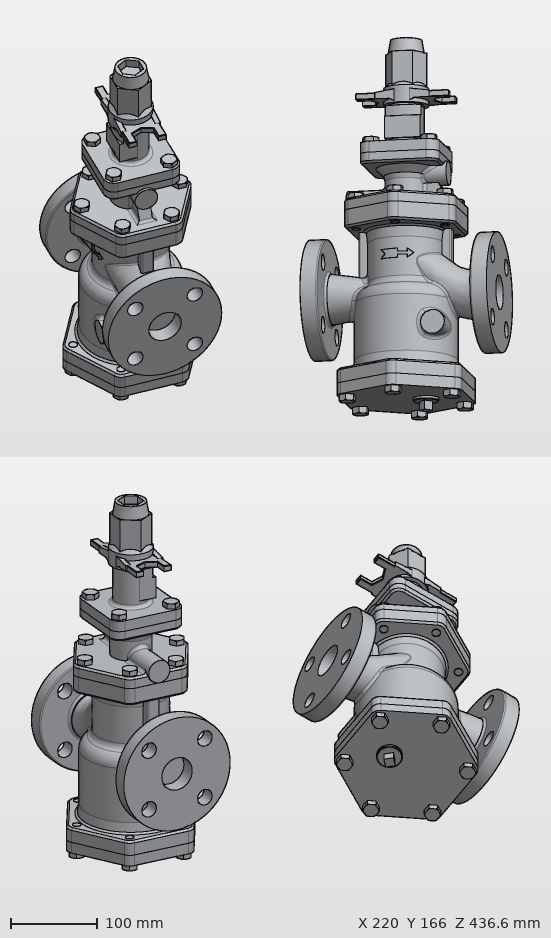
import cadquery as cq
import math


COVER_BOTTOM = -121.0
COVER_JOINT = -107.6
LOWER_FLANGE_TOP = -90.0
UPPER_FLANGE_BOTTOM = 76.0
PILOT_JOINT = 97.1
PILOT_FLANGE_TOP = 110.6
SQUARE_FLANGE_BOTTOM = 149.6
BONNET_JOINT = 161.9
BONNET_FLANGE_TOP = 174.9
HUB_BOTTOM = 224.2
HUB_TOP = 244.2
HEX_TOP = 285.5
VALVE_TOP = 301.2

LOWER_APOTHEM = 73.5
UPPER_APOTHEM = 65.5
HEX_CORNER_RADIUS = 12.0
SQUARE_WIDTH = 93.0
SQUARE_CORNER_RADIUS = 13.0
EDGE_CHAMFER = 2.5
LOWER_BOLT_CIRCLE = 71.2
UPPER_BOLT_CIRCLE = 60.5
SQUARE_BOLT_SPACING = 68.4

BOLT_ACROSS_FLATS = 17.0
BOLT_HEAD_HEIGHT = 6.4
COVER_BOLT_HEAD_HEIGHT = 7.6
BOLT_SHANK_DIAMETER = 10.0
UPPER_BOLT_PROJECTION = 1.0
LOWER_BOLT_PROJECTION = 0.5
BOLT_HEAD_CHAMFER = 1.0

UPPER_BARREL_RADIUS = 89.31 / 2
LOWER_BARREL_RADIUS = 60.0
LOWER_BARREL_TOP = -9.2
SHOULDER_OUTER_RADIUS = 17.65
SHOULDER_INNER_RADIUS = 10.0
SKIRT_TOP = -76.3
SKIRT_RADIUS = 61.7
SKIRT_FOOT_RADIUS = 64.5
COLLAR_BOTTOM = 61.5
COLLAR_RADIUS = 45.8
COLLAR_FOOT_RADIUS = 48.5
FOOT_HEIGHT = 2.2
RIB_REACH = 54.5
RIB_WIDTH = 16.0
RIB_EDGE_RADIUS = 2.0
BODY_BOSS_X = 43.1
BODY_BOSS_Z = -43.0
BODY_BOSS_END = 55.3
BODY_BOSS_FILLET = 5.0
BOSS_DIAMETER = 28.0

ARROW_Z = 42.2
ARROW_RELIEF = 0.5
ARROW_TAIL_X = -20.8
ARROW_NOTCH_X = -15.8
ARROW_SHAFT_START_X = -0.5
ARROW_HEAD_X = 10.8
ARROW_TIP_X = 18.0
ARROW_HALF_HEIGHT = 5.4
ARROW_SHAFT_HALF = 1.9

FACE_TO_FACE = 220.0
PIPE_FLANGE_DIAMETER = 140.0
PIPE_FLANGE_THICKNESS = 20.0
PIPE_FLANGE_EDGE = 1.5
PIPE_ROOT_FILLET = 3.0
PIPE_ROOT_RADIUS = 30.0
INLET_FILLET = 6.0
OUTLET_FILLET = 3.0
BORE_DIAMETER = 40.0
PIPE_BOLT_DIAMETER = 19.0
PIPE_BOLT_SPACING = 73.5

PLUG_X = 23.4
PLUG_COLLAR_DIAMETER = 30.0
PLUG_COLLAR_HEIGHT = 3.8
PLUG_COLLAR_CHAMFER = 1.0
PLUG_SQUARE_DIAGONAL = 15.7
PLUG_BOTTOM = -135.4

PILOT_NECK_RADIUS = 24.5
FLARE_BOTTOM = 135.0
FLARE_CONE_BOTTOM = 141.0
FLARE_CONE_RADIUS = 26.0
PILOT_FLARE_RADIUS = 35.0
PILOT_FILLET = 4.5
OUTLET_RIB_SHOULDER = 39.5
OUTLET_RIB_FOOT = 50.4
OUTLET_RIB_OVERLAP = 2.0
INLET_BOSS_Z = 112.3
INLET_BOSS_REACH = 68.0
OUTLET_BOSS_Z = 143.0
OUTLET_BOSS_REACH = 50.0

STEM_DIAMETER = 42.0
STEM_FILLET = 4.5
PLATE_BLOCK_WIDTH = STEM_DIAMETER
PLATE_BLOCK_REACH = 21.7
PLATE_BLOCK_BOTTOM = 183.0
PLATE_BLOCK_STEP = 209.0
PLATE_BLOCK_TOP = 221.7
PLATE_BLOCK_ARC_RADIUS = 52.0
HUB_DIAMETER = 52.0
HUB_CONE_HEIGHT = 5.0
CAP_ACROSS_FLATS = 42.0
CAP_TOP_RADIUS = 18.3
SOCKET_ACROSS_FLATS = 26.0
SOCKET_DEPTH = 10.0
HANDLE_REACH = 54.7
HANDLE_WIDTH = 46.0
HANDLE_BOTTOM = 229.2
HANDLE_TOP = 236.7
HANDLE_CHAMFER = 0.8
HANDLE_ARM_INNER_Y = 13.3
HANDLE_NOTCH_X = 39.0
HANDLE_NOTCH_TIP_X = 33.4
HANDLE_RIB_INNER_X = 7.3
HANDLE_RIB_FOOT_X = 15.0
HANDLE_RIB_OUTER_X = 32.0
HANDLE_RIB_INNER_Y = 18.0
HANDLE_RIB_OUTER_Y = 24.4
HANDLE_RIB_TOP = 240.5
HANDLE_RIB_BOTTOM = 225.4

HEX_CORNER_RATIO = 1 / math.cos(math.radians(30))

PLANE_MARGIN = 0.5
POINT_MARGIN = 8.0


def hex_prism(across_flats, bottom, top):
    """Hexagonal prism on the valve axis with flats facing +Y and -Y."""
    profile = cq.Workplane("XY", origin=(0, 0, bottom))
    return profile.polygon(6, across_flats * HEX_CORNER_RATIO).extrude(top - bottom)


def cylinder(diameter, bottom, top, x=0.0, y=0.0):
    return cq.Workplane("XY", origin=(x, y, bottom)).circle(diameter / 2).extrude(top - bottom)


def hex_flange(apothem, bottom, top):
    """Hexagonal flange with corners on the Y axis."""
    prism = hex_prism(2 * apothem, bottom, top).rotate((0, 0, 0), (0, 0, 1), 90)
    return prism.edges("|Z").fillet(HEX_CORNER_RADIUS)


def square_flange(bottom, top):
    block = cq.Workplane("XY", origin=(0, 0, bottom)).rect(SQUARE_WIDTH, SQUARE_WIDTH).extrude(top - bottom)
    return block.edges("|Z").fillet(SQUARE_CORNER_RADIUS)


def bolt_head(height):
    """Hexagon bolt head standing on Z = 0 with flats facing +X and -X and rounded-off upper corners."""
    head = hex_prism(BOLT_ACROSS_FLATS, 0, height).rotate((0, 0, 0), (0, 0, 1), 90)
    crown = cylinder(BOLT_ACROSS_FLATS * HEX_CORNER_RATIO, 0, height).faces(">Z").chamfer(BOLT_HEAD_CHAMFER)
    return head.intersect(crown)


def hex_circle_points(radius):
    """Six points on a circle, the first one on the +Y axis."""
    angles = [math.radians(90 + 60 * i) for i in range(6)]
    return [(radius * math.cos(a), radius * math.sin(a)) for a in angles]


LOWER_BOLTS = hex_circle_points(LOWER_BOLT_CIRCLE)
UPPER_BOLTS = hex_circle_points(UPPER_BOLT_CIRCLE)


def boss_along_x(start_x, end_x, z):
    return cq.Workplane("YZ", origin=(start_x, 0, z)).circle(BOSS_DIAMETER / 2).extrude(end_x - start_x)


def edges_in_box(shape, x_range, y_range, z_range):
    """Edges whose centres lie inside the given box."""
    corners = zip(x_range, y_range, z_range)
    return shape.edges(cq.selectors.BoxSelector(*corners))


def around(value, margin):
    """Range reaching the same margin to both sides of a value."""
    return value - margin, value + margin



def make_bottom_cover():
    cover = hex_flange(LOWER_APOTHEM, COVER_BOTTOM, COVER_JOINT)
    head = bolt_head(COVER_BOLT_HEAD_HEIGHT).rotate((0, 0, 0), (1, 0, 0), 180)
    for x, y in LOWER_BOLTS:
        cover = cover.union(head.translate((x, y, COVER_BOTTOM)))
        cover = cover.union(
            cylinder(BOLT_SHANK_DIAMETER, COVER_JOINT, LOWER_FLANGE_TOP + LOWER_BOLT_PROJECTION, x, y))
    collar = cylinder(PLUG_COLLAR_DIAMETER, COVER_BOTTOM - PLUG_COLLAR_HEIGHT, COVER_BOTTOM, PLUG_X)
    collar = collar.faces("<Z").chamfer(PLUG_COLLAR_CHAMFER)
    square = cq.Workplane("XY", origin=(PLUG_X, 0, PLUG_BOTTOM))
    square = square.polygon(4, PLUG_SQUARE_DIAGONAL).extrude(COVER_BOTTOM - PLUG_BOTTOM)
    return cover.union(collar).union(square)



def make_barrel():
    """Turned barrel: wide lower chamber, rounded shoulder, narrow upper chamber."""
    blend_radii = SHOULDER_OUTER_RADIUS + SHOULDER_INNER_RADIUS
    shoulder_step = LOWER_BARREL_RADIUS - UPPER_BARREL_RADIUS
    sweep = math.acos(1 - shoulder_step / blend_radii)
    half = sweep / 2
    outer_centre = LOWER_BARREL_RADIUS - SHOULDER_OUTER_RADIUS
    inner_centre = UPPER_BARREL_RADIUS + SHOULDER_INNER_RADIUS
    shoulder_top = LOWER_BARREL_TOP + blend_radii * math.sin(sweep)

    outer_mid = (outer_centre + SHOULDER_OUTER_RADIUS * math.cos(half),
                 LOWER_BARREL_TOP + SHOULDER_OUTER_RADIUS * math.sin(half))
    blend = (outer_centre + SHOULDER_OUTER_RADIUS * math.cos(sweep),
             LOWER_BARREL_TOP + SHOULDER_OUTER_RADIUS * math.sin(sweep))
    inner_mid = (inner_centre - SHOULDER_INNER_RADIUS * math.cos(half),
                 shoulder_top - SHOULDER_INNER_RADIUS * math.sin(half))

    profile = (
        cq.Workplane("XZ")
        .moveTo(0, LOWER_FLANGE_TOP)
        .lineTo(SKIRT_FOOT_RADIUS, LOWER_FLANGE_TOP)
        .lineTo(SKIRT_RADIUS, LOWER_FLANGE_TOP + FOOT_HEIGHT)
        .lineTo(LOWER_BARREL_RADIUS, SKIRT_TOP)
        .lineTo(LOWER_BARREL_RADIUS, LOWER_BARREL_TOP)
        .threePointArc(outer_mid, blend)
        .threePointArc(inner_mid, (UPPER_BARREL_RADIUS, shoulder_top))
        .lineTo(UPPER_BARREL_RADIUS, COLLAR_BOTTOM)
        .lineTo(COLLAR_RADIUS, UPPER_FLANGE_BOTTOM - FOOT_HEIGHT)
        .lineTo(COLLAR_FOOT_RADIUS, UPPER_FLANGE_BOTTOM)
        .lineTo(0, UPPER_FLANGE_BOTTOM)
        .close()
    )
    return profile.revolve(360, (0, 0, 0), (0, 1, 0))


def make_rib():
    """Upright channel rib under the upper flange, running down into both pipe connections."""
    block = cq.Workplane("XY").rect(2 * RIB_REACH, RIB_WIDTH).extrude(UPPER_FLANGE_BOTTOM)
    return block.edges("|Z").fillet(RIB_EDGE_RADIUS)


def make_pipe_flange():
    """Pipe flange on the inlet side, with its bolt holes and the fillet at the pipe root."""
    face_x = -FACE_TO_FACE / 2
    back_x = face_x + PIPE_FLANGE_THICKNESS
    flange = cq.Workplane("YZ", origin=(face_x, 0, 0)).circle(PIPE_FLANGE_DIAMETER / 2)
    flange = flange.extrude(PIPE_FLANGE_THICKNESS).faces(">X").edges().fillet(PIPE_FLANGE_EDGE)
    holes = cq.Workplane("YZ", origin=(face_x, 0, 0))
    holes = holes.rect(PIPE_BOLT_SPACING, PIPE_BOLT_SPACING, forConstruction=True).vertices()
    holes = holes.circle(PIPE_BOLT_DIAMETER / 2).extrude(PIPE_FLANGE_THICKNESS)
    bend = PIPE_ROOT_FILLET * (1 - math.cos(math.radians(45)))
    root = (
        cq.Workplane("XZ")
        .moveTo(back_x, 0)
        .lineTo(back_x, PIPE_ROOT_RADIUS + PIPE_ROOT_FILLET)
        .threePointArc((back_x + bend, PIPE_ROOT_RADIUS + bend),
                       (back_x + PIPE_ROOT_FILLET, PIPE_ROOT_RADIUS))
        .lineTo(back_x + PIPE_ROOT_FILLET, 0)
        .close()
        .revolve(360, (0, 0, 0), (1, 0, 0))
    )
    return flange.cut(holes).union(root)


def pipe_section(x, z, half_width, half_height, tilt):
    """Closed ellipse across a pipe; tilt is the climb of the pipe axis in degrees."""
    slope = math.radians(tilt)
    plane = cq.Plane(origin=(x, 0, z), xDir=(0, 1, 0), normal=(math.cos(slope), 0, math.sin(slope)))
    return cq.Wire.makeEllipse(
        half_width, half_height, plane.origin, plane.zDir, plane.xDir, rotation_angle=0)


def make_inlet_pipe():
    """Inlet pipe: narrows and dips slightly towards the barrel."""
    start = -FACE_TO_FACE / 2 + PIPE_FLANGE_THICKNESS
    sections = [
        pipe_section(start, 0, PIPE_ROOT_RADIUS, PIPE_ROOT_RADIUS, 0),
        pipe_section(-66, -0.5, 27.2, 26.5, -8),
        pipe_section(-30, -6, 24, 24, -12),
    ]
    return cq.Workplane(cq.Solid.makeLoft(sections))


def make_outlet_pipe():
    """Outlet passage: climbs towards the valve axis and widens into the upper barrel."""
    start = FACE_TO_FACE / 2 - PIPE_FLANGE_THICKNESS
    sections = [
        pipe_section(start, 0, PIPE_ROOT_RADIUS, PIPE_ROOT_RADIUS, 0),
        pipe_section(70, 0.5, 28, 28, -14),
        pipe_section(40, 17, 34, 26, -40),
        pipe_section(10, 36, 41, 28, -40),
    ]
    return cq.Workplane(cq.Solid.makeLoft(sections))


def add_inlet_pipe(barrel):
    joined = barrel.union(make_inlet_pipe())
    pipe_extent = around(0, PIPE_ROOT_RADIUS)
    seam = edges_in_box(joined, (-LOWER_BARREL_RADIUS, -UPPER_BARREL_RADIUS / 2), pipe_extent, pipe_extent)
    return seam.fillet(INLET_FILLET)


def add_outlet_pipe(barrel):
    joined = barrel.union(make_outlet_pipe())
    widths = around(0, UPPER_BARREL_RADIUS)
    heights = (-PIPE_ROOT_RADIUS, UPPER_BARREL_RADIUS + PIPE_ROOT_RADIUS / 2)
    seam = edges_in_box(joined, (PIPE_ROOT_RADIUS / 2, LOWER_BARREL_RADIUS - PLANE_MARGIN), widths, heights)
    return seam.fillet(OUTLET_FILLET)


def add_body_boss(barrel):
    """Plugged boss on the -Y side with a fillet around its root."""
    boss = cq.Workplane("XZ", origin=(BODY_BOSS_X, 0, BODY_BOSS_Z))
    joined = barrel.union(boss.circle(BOSS_DIAMETER / 2).extrude(BODY_BOSS_END))
    root_y = -math.sqrt(LOWER_BARREL_RADIUS ** 2 - BODY_BOSS_X ** 2)
    root_point = (BODY_BOSS_X, root_y, BODY_BOSS_Z)
    root = edges_in_box(joined, *[around(value, POINT_MARGIN) for value in root_point])
    return root.fillet(BODY_BOSS_FILLET)


def make_flow_arrow():
    """Slightly raised flow arrow on the upper barrel, pointing to the outlet."""
    upper_half = [
        (ARROW_NOTCH_X, 0),
        (ARROW_TAIL_X, ARROW_HALF_HEIGHT),
        (ARROW_SHAFT_START_X, ARROW_HALF_HEIGHT),
        (ARROW_SHAFT_START_X, ARROW_SHAFT_HALF),
        (ARROW_HEAD_X, ARROW_SHAFT_HALF),
        (ARROW_HEAD_X, ARROW_HALF_HEIGHT),
        (ARROW_TIP_X, 0),
    ]
    lower_half = [(x, -z) for x, z in reversed(upper_half[1:-1])]
    outline = cq.Workplane("XZ", origin=(0, 0, ARROW_Z)).polyline(upper_half + lower_half).close()
    outer_radius = UPPER_BARREL_RADIUS + ARROW_RELIEF
    envelope = cylinder(2 * outer_radius, ARROW_Z - ARROW_HALF_HEIGHT, ARROW_Z + ARROW_HALF_HEIGHT)
    return outline.extrude(outer_radius).intersect(envelope)


def make_body():
    lower_flange = hex_flange(LOWER_APOTHEM, COVER_JOINT, LOWER_FLANGE_TOP)
    lower_flange = lower_flange.faces(">Z").edges().chamfer(EDGE_CHAMFER)
    upper_flange = hex_flange(UPPER_APOTHEM, UPPER_FLANGE_BOTTOM, PILOT_JOINT)
    upper_flange = upper_flange.faces("<Z").edges().chamfer(EDGE_CHAMFER)
    inlet_flange = make_pipe_flange()
    body = add_body_boss(make_barrel())
    body = add_outlet_pipe(add_inlet_pipe(body))
    for flange in (lower_flange, upper_flange, inlet_flange, inlet_flange.mirror("YZ")):
        body = body.union(flange)
    body = body.union(make_rib()).union(make_flow_arrow())
    for x, y in LOWER_BOLTS:
        body = body.cut(cylinder(BOLT_SHANK_DIAMETER, COVER_JOINT, LOWER_FLANGE_TOP, x, y))
    for x, y in UPPER_BOLTS:
        body = body.cut(cylinder(BOLT_SHANK_DIAMETER, UPPER_FLANGE_BOTTOM, PILOT_JOINT, x, y))
    for face_x, direction in ((-FACE_TO_FACE / 2, 1), (FACE_TO_FACE / 2, -1)):
        bore = cq.Workplane("YZ", origin=(face_x, 0, 0)).circle(BORE_DIAMETER / 2)
        body = body.cut(bore.extrude(direction * PIPE_FLANGE_THICKNESS))
    return body



def make_pilot_neck():
    """Turned neck between the hexagonal and the square flange, flared at the top."""
    profile = (
        cq.Workplane("XZ")
        .moveTo(0, PILOT_FLANGE_TOP)
        .lineTo(PILOT_NECK_RADIUS, PILOT_FLANGE_TOP)
        .lineTo(PILOT_NECK_RADIUS, FLARE_BOTTOM)
        .lineTo(FLARE_CONE_RADIUS, FLARE_CONE_BOTTOM)
        .lineTo(PILOT_FLARE_RADIUS, SQUARE_FLANGE_BOTTOM)
        .lineTo(0, SQUARE_FLANGE_BOTTOM)
        .close()
    )
    return profile.revolve(360, (0, 0, 0), (0, 1, 0))


def make_outlet_rib():
    """Web under the outlet boss, with a sloping outer face."""
    top = OUTLET_BOSS_Z - BOSS_DIAMETER / 2 + OUTLET_RIB_OVERLAP
    profile = (
        cq.Workplane("XZ", origin=(0, RIB_WIDTH / 2, 0))
        .moveTo(0, PILOT_FLANGE_TOP)
        .lineTo(OUTLET_RIB_FOOT, PILOT_FLANGE_TOP)
        .lineTo(OUTLET_RIB_SHOULDER, top)
        .lineTo(0, top)
        .close()
    )
    return profile.extrude(RIB_WIDTH)


def blend_pilot_neck(hex_base):
    """Neck, outlet web and inlet boss standing on the hexagonal flange, with filleted roots."""
    inlet_boss = boss_along_x(-INLET_BOSS_REACH, 0, INLET_BOSS_Z)
    joined = hex_base.union(make_pilot_neck()).union(make_outlet_rib()).union(inlet_boss)
    widths = around(0, BOSS_DIAMETER / 2 + PILOT_FILLET)
    above_flange = (PILOT_FLANGE_TOP + PLANE_MARGIN, OUTLET_BOSS_Z - BOSS_DIAMETER / 2 - PILOT_FILLET)
    flange_plane = around(PILOT_FLANGE_TOP, PLANE_MARGIN)
    root_length = (-INLET_BOSS_REACH, OUTLET_RIB_FOOT + PLANE_MARGIN)
    flange_roots = edges_in_box(joined, root_length, widths, flange_plane)
    boss_root = edges_in_box(joined, (-PILOT_NECK_RADIUS, -BOSS_DIAMETER / 2), widths, above_flange)
    rib_roots = edges_in_box(joined, (BOSS_DIAMETER / 2, PILOT_NECK_RADIUS), widths, above_flange)
    return flange_roots.add(boss_root).add(rib_roots).fillet(PILOT_FILLET)


def make_outlet_boss():
    """Upper outlet boss blended into the neck."""
    joined = make_pilot_neck().union(boss_along_x(0, OUTLET_BOSS_REACH, OUTLET_BOSS_Z))
    widths = around(0, BOSS_DIAMETER / 2 + PLANE_MARGIN)
    heights = (OUTLET_BOSS_Z - BOSS_DIAMETER, SQUARE_FLANGE_BOTTOM - PLANE_MARGIN)
    seam = edges_in_box(joined, (BOSS_DIAMETER / 2, PILOT_FLARE_RADIUS - PILOT_FILLET), widths, heights)
    return seam.fillet(PILOT_FILLET)


def make_pilot_body():
    hex_base = hex_flange(UPPER_APOTHEM, PILOT_JOINT, PILOT_FLANGE_TOP)
    hex_base = hex_base.faces(">Z").edges().chamfer(EDGE_CHAMFER)
    square_top = square_flange(SQUARE_FLANGE_BOTTOM, BONNET_JOINT)
    square_top = square_top.faces("<Z").edges().chamfer(EDGE_CHAMFER)
    pilot = blend_pilot_neck(hex_base).union(make_outlet_boss()).union(square_top)
    head = bolt_head(BOLT_HEAD_HEIGHT)
    for x, y in UPPER_BOLTS:
        pilot = pilot.union(head.translate((x, y, PILOT_FLANGE_TOP)))
        pilot = pilot.union(
            cylinder(BOLT_SHANK_DIAMETER, UPPER_FLANGE_BOTTOM - UPPER_BOLT_PROJECTION, PILOT_JOINT, x, y))
    return pilot



def make_bonnet_flange():
    """Square flange with the round stem rising from it out of a fillet."""
    flange = square_flange(BONNET_JOINT, BONNET_FLANGE_TOP)
    joined = flange.union(cylinder(STEM_DIAMETER, BONNET_FLANGE_TOP, HUB_BOTTOM))
    centre = around(0, PLANE_MARGIN)
    root = edges_in_box(joined, centre, centre, around(BONNET_FLANGE_TOP, PLANE_MARGIN))
    return root.fillet(STEM_FILLET)


def make_plate_block():
    """Flat-faced name plate block on the -Y side; its upper part has a bowed front."""
    half = PLATE_BLOCK_WIDTH / 2
    lower = cq.Workplane("XY", origin=(0, 0, PLATE_BLOCK_BOTTOM))
    lower = lower.moveTo(-half, 0).lineTo(-half, -PLATE_BLOCK_REACH).lineTo(half, -PLATE_BLOCK_REACH)
    lower = lower.lineTo(half, 0).close().extrude(PLATE_BLOCK_STEP - PLATE_BLOCK_BOTTOM)
    bow = PLATE_BLOCK_ARC_RADIUS - math.sqrt(PLATE_BLOCK_ARC_RADIUS ** 2 - half ** 2)
    shoulder_y = bow - PLATE_BLOCK_REACH
    upper = cq.Workplane("XY", origin=(0, 0, PLATE_BLOCK_STEP))
    upper = upper.moveTo(-half, 0).lineTo(-half, shoulder_y)
    upper = upper.threePointArc((0, -PLATE_BLOCK_REACH), (half, shoulder_y))
    upper = upper.lineTo(half, 0).close().extrude(PLATE_BLOCK_TOP - PLATE_BLOCK_STEP)
    return lower.union(upper)


def make_cap():
    """Adjusting cap: round hub, hexagon, tapered top and a hexagon socket."""
    hub = cylinder(HUB_DIAMETER, HUB_BOTTOM, HUB_TOP + HUB_CONE_HEIGHT)
    hub = hub.faces(">Z").chamfer(HUB_CONE_HEIGHT)
    hexagon = hex_prism(CAP_ACROSS_FLATS, HUB_TOP, HEX_TOP)
    taper = (
        cq.Workplane("XY", origin=(0, 0, HEX_TOP))
        .circle(CAP_ACROSS_FLATS / 2)
        .workplane(offset=VALVE_TOP - HEX_TOP)
        .circle(CAP_TOP_RADIUS)
        .loft()
    )
    socket = hex_prism(SOCKET_ACROSS_FLATS, VALVE_TOP - SOCKET_DEPTH, VALVE_TOP)
    return hub.union(hexagon).union(taper).cut(socket)


def make_handle():
    """Cross handle with a forked arm on each side and stiffening ribs beside the hub."""
    plate = cq.Workplane("XY", origin=(0, 0, HANDLE_BOTTOM)).rect(2 * HANDLE_REACH, HANDLE_WIDTH)
    plate = plate.extrude(HANDLE_TOP - HANDLE_BOTTOM)
    for side in (-1, 1):
        fork = (
            cq.Workplane("XY", origin=(0, 0, HANDLE_BOTTOM))
            .moveTo(side * HANDLE_REACH, -HANDLE_ARM_INNER_Y)
            .lineTo(side * HANDLE_NOTCH_X, -HANDLE_ARM_INNER_Y)
            .lineTo(side * HANDLE_NOTCH_TIP_X, 0)
            .lineTo(side * HANDLE_NOTCH_X, HANDLE_ARM_INNER_Y)
            .lineTo(side * HANDLE_REACH, HANDLE_ARM_INNER_Y)
            .close()
            .extrude(HANDLE_TOP - HANDLE_BOTTOM)
        )
        plate = plate.cut(fork)
    rib_width = HANDLE_RIB_OUTER_Y - HANDLE_RIB_INNER_Y
    handle = plate.faces("<Z or >Z").edges().chamfer(HANDLE_CHAMFER)
    for x_side in (-1, 1):
        for rib_outer_y in (-HANDLE_RIB_INNER_Y, HANDLE_RIB_OUTER_Y):
            rib = (
                cq.Workplane("XZ", origin=(0, rib_outer_y, 0))
                .moveTo(x_side * HANDLE_RIB_INNER_X, HANDLE_RIB_BOTTOM)
                .lineTo(x_side * HANDLE_RIB_INNER_X, HANDLE_RIB_TOP)
                .lineTo(x_side * HANDLE_RIB_OUTER_X, HANDLE_TOP)
                .lineTo(x_side * HANDLE_RIB_OUTER_X, HANDLE_BOTTOM)
                .lineTo(x_side * HANDLE_RIB_FOOT_X, HANDLE_BOTTOM)
                .close()
                .extrude(rib_width)
            )
            handle = handle.union(rib)
    return handle


def make_bonnet():
    bonnet = make_bonnet_flange().union(make_plate_block()).union(make_handle()).union(make_cap())
    head = bolt_head(BOLT_HEAD_HEIGHT)
    half = SQUARE_BOLT_SPACING / 2
    for quarter_turn in range(4):
        bolt = head.translate((-half, half, BONNET_FLANGE_TOP))
        bonnet = bonnet.union(bolt.rotate((0, 0, 0), (0, 0, 1), 90 * quarter_turn))
    return bonnet


bottom_cover = make_bottom_cover()
body = make_body()
pilot_body = make_pilot_body()
bonnet = make_bonnet()

result = cq.Compound.makeCompound([bottom_cover.val(), body.val(), pilot_body.val(), bonnet.val()])